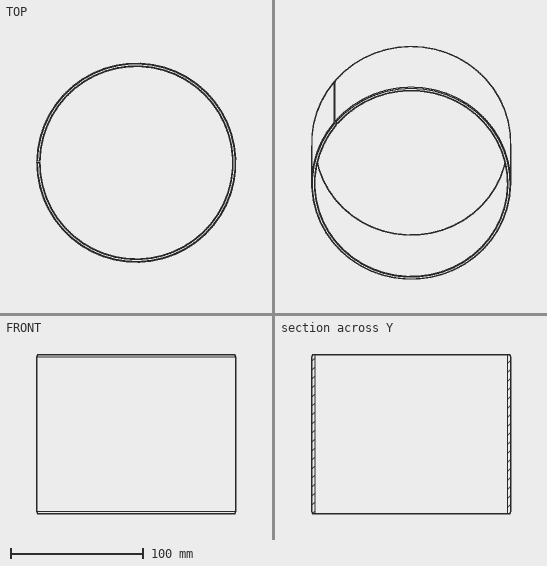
import cadquery as cq

outer_diameter = 150.0
height = 120.0
wall = 2.5

bevel_width = 0.6
bevel_height = 1.6

inner_chamfer = 0.5

split_angle = 1.0
sweep_angle = 360 - split_angle

outer_radius = outer_diameter / 2
inner_radius = outer_radius - wall
half_height = height / 2


def split_sleeve():
    """Sweep the wall section about Z, counterclockwise from -X."""
    rim_radius = outer_radius - bevel_width
    bevel_start = half_height - bevel_height
    chamfer_radius = inner_radius + inner_chamfer
    chamfer_start = half_height - inner_chamfer
    section = [
        (-inner_radius, -chamfer_start),
        (-chamfer_radius, -half_height),
        (-rim_radius, -half_height),
        (-outer_radius, -bevel_start),
        (-outer_radius, bevel_start),
        (-rim_radius, half_height),
        (-chamfer_radius, half_height),
        (-inner_radius, chamfer_start),
    ]
    wall_section = cq.Workplane("XZ").polyline(section).close()
    return wall_section.revolve(sweep_angle, (0, 0), (0, 1))


result = split_sleeve()